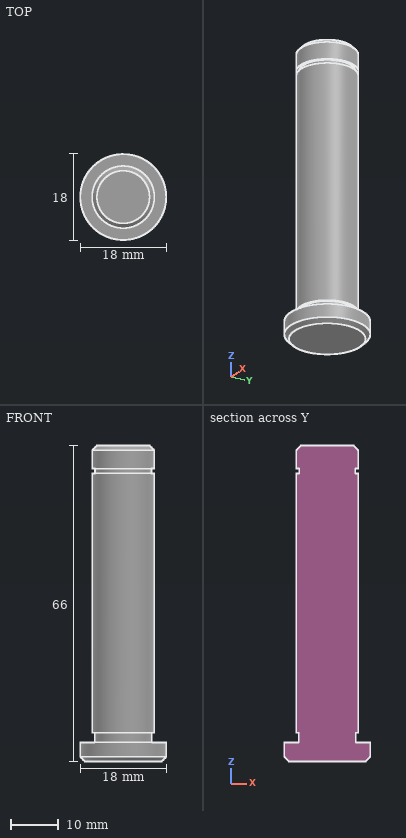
import cadquery as cq

head_diameter = 18.0
head_height = 4.0
head_chamfer = 1.0

total_length = 66.0
shank_diameter = 13.0
tip_chamfer = 1.0

undercut_diameter = 12.0
undercut_width = 2.0

groove_diameter = 11.9
groove_width = 0.95
groove_to_tip = 4.85


def cylinder(diameter, bottom, top):
    """Cylinder on the Z axis between two heights."""
    return cq.Workplane("XY").workplane(offset=bottom).circle(diameter / 2).extrude(top - bottom)


def ring_cut(body, floor_diameter, bottom, width):
    """Cut a square groove around the shank, down to the floor diameter."""
    ring = cylinder(head_diameter, bottom, bottom + width)
    core = cylinder(floor_diameter, bottom, bottom + width)
    return body.cut(ring.cut(core))


head = cylinder(head_diameter, 0, head_height).faces("<Z").chamfer(head_chamfer)

shank = cylinder(shank_diameter, head_height, total_length).faces(">Z").chamfer(tip_chamfer)

pin = head.union(shank)
pin = ring_cut(pin, undercut_diameter, head_height, undercut_width)

groove_bottom = total_length - groove_to_tip - groove_width
result = ring_cut(pin, groove_diameter, groove_bottom, groove_width)